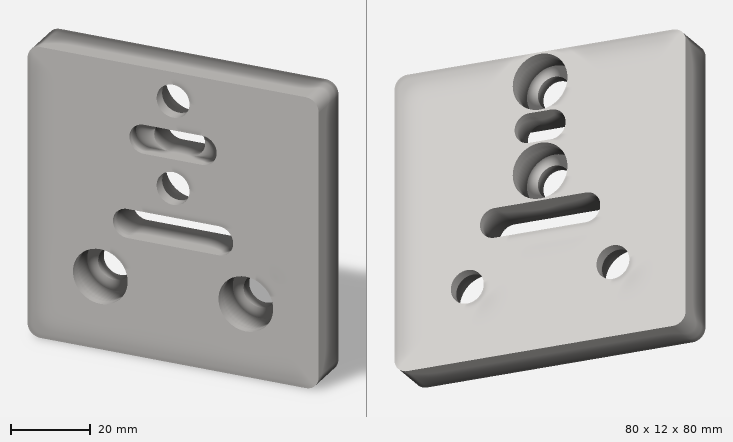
import cadquery as cq

side = 80.0
thickness = 12.0
corner_radius = 3.5

grid = 4.0
hole_diameter = 9.0

upper_hole_heights = (8 * grid, 2 * grid)

lower_hole_x = 5 * grid
lower_hole_z = -5 * grid
counterbore_diameter = 15.0
counterbore_depth = 8.6

slot_width = 2 * grid
long_slot_length = 33.0
long_slot_z = -grid
stepped_slot_z = 5 * grid
stepped_slot_inner_length = 14.0
stepped_slot_outer_length = 24.0
stepped_slot_depth = 4.0


def front_sketch(x, z):
    """Sketch plane on the front face, centred at (x, z)."""
    return cq.Workplane("XZ", origin=(x, 0, z))


def counterbored_hole(x, z, counterbore_start):
    """Through hole with a counterbore beginning at depth counterbore_start."""
    hole = front_sketch(x, z).circle(hole_diameter / 2).extrude(-thickness)
    counterbore = front_sketch(x, z).circle(counterbore_diameter / 2).extrude(-counterbore_depth)
    return hole.union(counterbore.translate((0, counterbore_start, 0)))


def slot_cut(z, length, depth):
    """Round-ended slot reaching from the front face into the plate."""
    return front_sketch(0, z).slot2D(length, slot_width).extrude(-depth)


result = front_sketch(0, 0).rect(side, side).extrude(-thickness)
result = result.edges("|Y").fillet(corner_radius)

for upper_z in upper_hole_heights:
    result = result.cut(counterbored_hole(0, upper_z, thickness - counterbore_depth))

for x in (-lower_hole_x, lower_hole_x):
    result = result.cut(counterbored_hole(x, lower_hole_z, 0))

result = result.cut(slot_cut(long_slot_z, long_slot_length, thickness))

result = result.cut(slot_cut(stepped_slot_z, stepped_slot_inner_length, thickness))
result = result.cut(slot_cut(stepped_slot_z, stepped_slot_outer_length, stepped_slot_depth))